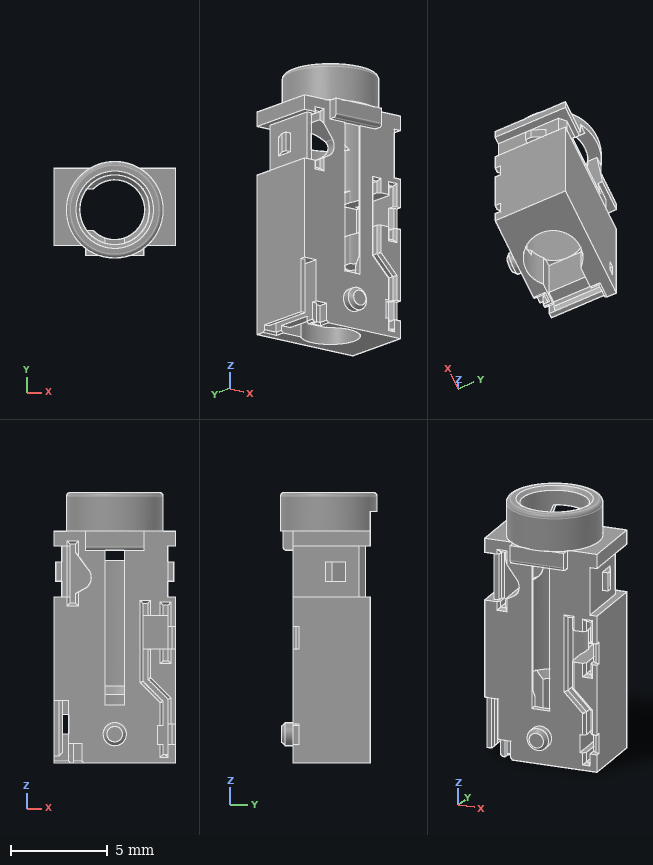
import cadquery as cq


WIDTH = 6.3
HALF_WIDTH = WIDTH / 2
FRONT_Y = -1.85
BACK_Y = 2.15
TOTAL_HEIGHT = 14.0
COLLAR_RADIUS = 2.5
COLLAR_HEIGHT = 2.0
COLLAR_ROUND = 0.2
BODY_TOP_Z = TOTAL_HEIGHT - COLLAR_HEIGHT
BACK_RELIEF_TOP_Z = 13.0

WAIST_BOTTOM_Z = 8.6
WAIST_TOP_Z = 11.22
WAIST_HALF_WIDTH = 2.75
WAIST_BACK_Y = 1.9
WAIST_CORNER = 0.33
TAB_BOTTOM_Z = 9.4
TAB_HEIGHT = 1.0
TAB_REACH = 0.31
TAB_FRONT_Y = -0.16
TAB_CREST_Y = 0.16
TAB_BACK_Y = 0.86

BORE_RADIUS = 1.8
TIP_RADIUS = 1.54
TIP_CONE_BOTTOM_Z = 3.55
TIP_CONE_TOP_Z = 3.98
BORE_CHAMFER = 0.2
SIDE_CHANNEL_HALF_DEPTH = 1.07

KEY_HALF_WIDTH = 1.5
KEY_BOTTOM_Z = 11.0
KEY_REACH = 0.52
KEY_ROUND = 0.18
PIN_Z = 1.5
PIN_RADIUS = 0.6
PIN_LENGTH = 0.6
PIN_CHAMFER = 0.2
SLOT_HALF_WIDTH = 0.5
SLOT_BOTTOM_Z = 3.0

WINDOW_BOTTOM_Z = 10.48
WINDOW_TOP_HALF_WIDTH = 0.75
WINDOW_BOTTOM_HALF_WIDTH = 1.7

MOUTH_CHAMFER = 0.15
CAVITY_BACK_Y = 1.34
GROOVE_BACK_Y = 1.06
RECESS_DEPTH = 0.3
RECESS_Y = FRONT_Y + RECESS_DEPTH

SPRING_LEFT = -2.466
SPRING_RIGHT = -1.88
SPRING_BOTTOM_Z = 8.13
SPRING_TOP_Z = 11.48
SPRING_STEP_Y = -1.2
BULGE_BOTTOM_Z = 8.77
BULGE_TOP_Z = 10.9
BULGE_ARC_START = (-1.5, 9.05)
BULGE_ARC_MIDDLE = (-1.22, 9.5)
BULGE_ARC_END = (-1.31, 9.93)

LONG_LEFT = 1.31
LONG_RIGHT = 1.86
LONG_TOP_Z = 8.41
FOOT_LEFT = 2.35
FOOT_RIGHT = 2.905
BEND_LEFT_Z = 3.13
BEND_RIGHT_Z = 3.37
FOOT_BOTTOM_Z = 0.3
SHORT_TOP_Z = 8.32
SHORT_BOTTOM_Z = 5.14
CAVITY_RIGHT = FOOT_RIGHT - MOUTH_CHAMFER

TERMINAL_BOTTOM_Z = 5.89
TERMINAL_TOP_Z = 7.63
FOOT_POCKET_LEFT = 2.2
FOOT_POCKET_BOTTOM_Z = 0.96
FOOT_POCKET_TOP_Z = 1.94

EXIT_NOTCHES = ((5.89, 7.06), (0.96, 2.03))
EXIT_BEVEL = 0.2

SIDE_SLOT_LEFT = -2.88
SIDE_SLOT_INNER_LEFT = -2.69
SIDE_SLOT_RIGHT = -2.39
SIDE_SLOT_TOP_Z = 3.25
SIDE_SLOT_STEP_Y = -1.2
SIDE_SLOT_BACK_Y = 1.5
SIDE_OPENING_Z = 0.38
HOLE_BOTTOM_Z = 1.52
HOLE_TOP_Z = 2.51
BASE_CHAMFER = 0.12

BASE_NOTCH_MIDDLE = -2.13
BASE_NOTCH_RIGHT = -1.7
BASE_NOTCH_TOP_Z = 1.03
BASE_NOTCH_BACK_Y = -1.3

CLEARANCE = 0.5


def block(x0, x1, y0, y1, z0, z1):
    """Box given by its limits along the three axes."""
    return cq.Workplane("XY").box(x1 - x0, y1 - y0, z1 - z0, centered=False).translate((x0, y0, z0))


def front_prism(points, y0, y1):
    """Prism with an outline of (x, z) points, running from y0 back to y1."""
    return cq.Workplane("XZ", origin=(0, y0, 0)).polyline(points).close().extrude(-(y1 - y0))


def plan_prism(points, z0, z1):
    """Prism with an outline of (x, y) points, running from z0 up to z1."""
    return cq.Workplane("XY", origin=(0, 0, z0)).polyline(points).close().extrude(z1 - z0)


def rectangle(x0, x1, z0, z1):
    return [(x0, z0), (x1, z0), (x1, z1), (x0, z1)]


def mouth(points):
    """Lead-in at the front face whose four walls slope inwards at 45 degrees."""
    face = cq.Workplane("XZ", origin=(0, FRONT_Y, 0)).polyline(points).close()
    return face.extrude(-MOUTH_CHAMFER, taper=45)


def groove(points, back_y):
    """Contact groove: a bevelled mouth and the narrower cavity behind it."""
    wire = cq.Workplane("XZ", origin=(0, FRONT_Y, 0)).polyline(points).close()
    cavity = wire.offset2D(-MOUTH_CHAMFER, "intersection").extrude(-(back_y - FRONT_Y))
    return cavity.union(mouth(points))


def make_collar():
    collar = (
        cq.Workplane("XY", origin=(0, 0, BODY_TOP_Z))
        .circle(COLLAR_RADIUS)
        .extrude(COLLAR_HEIGHT)
        .faces(">Z")
        .edges()
        .fillet(COLLAR_ROUND)
    )
    relief = block(
        -COLLAR_RADIUS, COLLAR_RADIUS, BACK_Y, COLLAR_RADIUS + CLEARANCE, BODY_TOP_Z, BACK_RELIEF_TOP_Z
    )
    return collar.cut(relief)


def make_waist():
    corner_x = WAIST_HALF_WIDTH - WAIST_CORNER
    corner_y = WAIST_BACK_Y - WAIST_CORNER
    outline = [
        (-WAIST_HALF_WIDTH, FRONT_Y),
        (WAIST_HALF_WIDTH, FRONT_Y),
        (WAIST_HALF_WIDTH, corner_y),
        (corner_x, WAIST_BACK_Y),
        (-corner_x, WAIST_BACK_Y),
        (-WAIST_HALF_WIDTH, corner_y),
    ]
    waist = plan_prism(outline, WAIST_BOTTOM_Z, WAIST_TOP_Z)
    crest_x = WAIST_HALF_WIDTH + TAB_REACH
    for side in (-1, 1):
        tab = [
            (0, TAB_FRONT_Y),
            (side * crest_x, TAB_FRONT_Y),
            (side * crest_x, TAB_CREST_Y),
            (side * WAIST_HALF_WIDTH, TAB_BACK_Y),
            (0, TAB_BACK_Y),
        ]
        waist = waist.union(plan_prism(tab, TAB_BOTTOM_Z, TAB_BOTTOM_Z + TAB_HEIGHT))
    return waist


def make_key():
    key = block(-KEY_HALF_WIDTH, KEY_HALF_WIDTH, FRONT_Y - KEY_REACH, 0, KEY_BOTTOM_Z, BODY_TOP_Z)
    return key.faces("<Y").edges("<Z").fillet(KEY_ROUND)


def make_pin():
    pin = cq.Workplane("XZ", origin=(0, FRONT_Y, PIN_Z)).circle(PIN_RADIUS).extrude(PIN_LENGTH)
    return pin.faces("<Y").edges().chamfer(PIN_CHAMFER)


def make_bore():
    """Stepped bore with a bevelled entry, a cone and a narrower tip section."""
    profile = [
        (0, -CLEARANCE),
        (TIP_RADIUS, -CLEARANCE),
        (TIP_RADIUS, TIP_CONE_BOTTOM_Z),
        (BORE_RADIUS, TIP_CONE_TOP_Z),
        (BORE_RADIUS, TOTAL_HEIGHT - BORE_CHAMFER),
        (BORE_RADIUS + BORE_CHAMFER, TOTAL_HEIGHT),
        (0, TOTAL_HEIGHT),
    ]
    bore = cq.Workplane("XZ").polyline(profile).close().revolve(360, (0, 0, 0), (0, 1, 0))
    depth = SIDE_CHANNEL_HALF_DEPTH
    channel = block(-BORE_RADIUS, 0, -depth, depth, 0, TIP_CONE_TOP_Z)
    passage = block(SIDE_SLOT_RIGHT, 0, -depth, depth, 0, SIDE_OPENING_Z)
    return bore.union(channel).union(passage)


def make_central_slot():
    return block(-SLOT_HALF_WIDTH, SLOT_HALF_WIDTH, FRONT_Y, 0, SLOT_BOTTOM_Z, KEY_BOTTOM_Z)


def make_back_window():
    outline = [
        (-WINDOW_BOTTOM_HALF_WIDTH, WINDOW_BOTTOM_Z),
        (WINDOW_BOTTOM_HALF_WIDTH, WINDOW_BOTTOM_Z),
        (WINDOW_TOP_HALF_WIDTH, BACK_RELIEF_TOP_Z),
        (-WINDOW_TOP_HALF_WIDTH, BACK_RELIEF_TOP_Z),
    ]
    return front_prism(outline, 0, COLLAR_RADIUS + CLEARANCE)


def make_spring_groove():
    """Upper left groove, its curved bulge, and the recess that opens it to the left."""
    cutter = groove(rectangle(SPRING_LEFT, SPRING_RIGHT, SPRING_BOTTOM_Z, SPRING_TOP_Z), CAVITY_BACK_Y)
    cavity_left = SPRING_LEFT + MOUTH_CHAMFER
    cavity_right = SPRING_RIGHT - MOUTH_CHAMFER
    bulge = (
        cq.Workplane("XZ", origin=(0, FRONT_Y, 0))
        .moveTo(cavity_left, BULGE_BOTTOM_Z)
        .lineTo(cavity_right, BULGE_BOTTOM_Z)
        .lineTo(*BULGE_ARC_START)
        .threePointArc(BULGE_ARC_MIDDLE, BULGE_ARC_END)
        .lineTo(cavity_right, BULGE_TOP_Z)
        .lineTo(cavity_left, BULGE_TOP_Z)
        .close()
        .extrude(-(CAVITY_BACK_Y - FRONT_Y))
    )
    recess = block(-HALF_WIDTH, SPRING_LEFT, FRONT_Y, RECESS_Y, WAIST_BOTTOM_Z, WAIST_TOP_Z)
    step = block(SPRING_LEFT, cavity_left, FRONT_Y, SPRING_STEP_Y, WAIST_BOTTOM_Z, WAIST_TOP_Z)
    return cutter.union(bulge).union(recess).union(step)


def make_long_groove():
    """Right-hand groove that jogs outwards on its way down to its foot."""
    outline = [
        (LONG_LEFT, LONG_TOP_Z),
        (LONG_RIGHT, LONG_TOP_Z),
        (LONG_RIGHT, BEND_RIGHT_Z + FOOT_RIGHT - LONG_RIGHT),
        (FOOT_RIGHT, BEND_RIGHT_Z),
        (FOOT_RIGHT, FOOT_POCKET_BOTTOM_Z),
        (FOOT_LEFT, FOOT_POCKET_BOTTOM_Z),
        (FOOT_LEFT, BEND_LEFT_Z),
        (LONG_LEFT, BEND_LEFT_Z + FOOT_LEFT - LONG_LEFT),
    ]
    cutter = groove(outline, GROOVE_BACK_Y)
    foot = rectangle(FOOT_LEFT, CAVITY_RIGHT, FOOT_BOTTOM_Z, FOOT_POCKET_TOP_Z)
    throat = block(
        FOOT_LEFT + MOUTH_CHAMFER,
        CAVITY_RIGHT,
        FRONT_Y,
        GROOVE_BACK_Y,
        FOOT_BOTTOM_Z + MOUTH_CHAMFER,
        FOOT_POCKET_TOP_Z,
    )
    pocket = block(
        FOOT_POCKET_LEFT, CAVITY_RIGHT, FRONT_Y, GROOVE_BACK_Y, FOOT_POCKET_BOTTOM_Z, FOOT_POCKET_TOP_Z
    )
    return cutter.union(mouth(foot)).union(throat).union(pocket)


def make_terminal_pocket():
    """Short outer groove and the pocket joining it to the long groove."""
    short = groove(rectangle(FOOT_LEFT, FOOT_RIGHT, SHORT_BOTTOM_Z, SHORT_TOP_Z), GROOVE_BACK_Y)
    pocket = block(
        LONG_LEFT + MOUTH_CHAMFER,
        CAVITY_RIGHT,
        FRONT_Y,
        CAVITY_BACK_Y,
        TERMINAL_BOTTOM_Z,
        TERMINAL_TOP_Z,
    )
    return short.union(pocket)


def make_exit_notch(bottom_z, top_z):
    """Notch on the right front corner, bevelled down into the cavity beside it."""
    outline = [
        (CAVITY_RIGHT, FRONT_Y),
        (HALF_WIDTH, FRONT_Y),
        (HALF_WIDTH, RECESS_Y),
        (CAVITY_RIGHT + EXIT_BEVEL, RECESS_Y),
        (CAVITY_RIGHT, RECESS_Y + EXIT_BEVEL),
    ]
    return plan_prism(outline, bottom_z, top_z)


def base_flare(right, back_y):
    """Bevel along the bottom edges of an opening with the given right and back walls."""
    left = -HALF_WIDTH - CLEARANCE
    front = FRONT_Y - CLEARANCE
    outline = [
        (left, front),
        (right + BASE_CHAMFER, front),
        (right + BASE_CHAMFER, back_y + BASE_CHAMFER),
        (left, back_y + BASE_CHAMFER),
    ]
    return cq.Workplane("XY").polyline(outline).close().extrude(BASE_CHAMFER, taper=45)


def make_side_slot():
    """Lower left terminal slot, its opening under the left wall and its hole to the back."""
    recess = block(-HALF_WIDTH, SIDE_SLOT_RIGHT, FRONT_Y, RECESS_Y, 0, SIDE_SLOT_TOP_Z)
    entry = block(
        SIDE_SLOT_LEFT, SIDE_SLOT_RIGHT, FRONT_Y, SIDE_SLOT_STEP_Y, SIDE_OPENING_Z, SIDE_SLOT_TOP_Z
    )
    corner = SIDE_SLOT_INNER_LEFT - SIDE_SLOT_LEFT
    inner_outline = [
        (SIDE_SLOT_RIGHT, SIDE_OPENING_Z),
        (SIDE_SLOT_LEFT, SIDE_OPENING_Z),
        (SIDE_SLOT_INNER_LEFT, SIDE_OPENING_Z + corner),
        (SIDE_SLOT_INNER_LEFT, SIDE_SLOT_TOP_Z),
        (SIDE_SLOT_RIGHT, SIDE_SLOT_TOP_Z),
    ]
    inner = front_prism(inner_outline, FRONT_Y, SIDE_SLOT_BACK_Y)
    opening = block(-HALF_WIDTH, SIDE_SLOT_RIGHT, FRONT_Y, SIDE_SLOT_BACK_Y, 0, SIDE_OPENING_Z)
    hole = block(SIDE_SLOT_INNER_LEFT, SIDE_SLOT_RIGHT, 0, BACK_Y, HOLE_BOTTOM_Z, HOLE_TOP_Z)
    flare = base_flare(SIDE_SLOT_RIGHT, SIDE_SLOT_BACK_Y)
    return recess.union(entry).union(inner).union(opening).union(hole).union(flare)


def make_base_notch():
    """Shallow step beside the side slot and the deeper notch next to it."""
    step = block(SIDE_SLOT_RIGHT, BASE_NOTCH_MIDDLE, FRONT_Y, RECESS_Y, 0, BASE_NOTCH_TOP_Z)
    notch = block(
        BASE_NOTCH_MIDDLE, BASE_NOTCH_RIGHT, FRONT_Y, BASE_NOTCH_BACK_Y, 0, BASE_NOTCH_TOP_Z
    )
    flare = base_flare(BASE_NOTCH_RIGHT, BASE_NOTCH_BACK_Y)
    kept = block(BASE_NOTCH_MIDDLE, 0, FRONT_Y - CLEARANCE, 0, 0, BASE_CHAMFER)
    return step.union(notch).union(flare.intersect(kept))


lower_body = block(-HALF_WIDTH, HALF_WIDTH, FRONT_Y, BACK_Y, 0, WAIST_BOTTOM_Z)
top_plate = block(-HALF_WIDTH, HALF_WIDTH, FRONT_Y, BACK_Y, WAIST_TOP_Z, BODY_TOP_Z)

result = lower_body.union(make_waist()).union(top_plate).union(make_collar()).union(make_key())

cutters = [
    make_bore(),
    make_central_slot(),
    make_back_window(),
    make_spring_groove(),
    make_long_groove(),
    make_terminal_pocket(),
    make_side_slot(),
    make_base_notch(),
]
for notch_bottom_z, notch_top_z in EXIT_NOTCHES:
    cutters.append(make_exit_notch(notch_bottom_z, notch_top_z))

for cutter in cutters:
    result = result.cut(cutter)

result = result.union(make_pin())